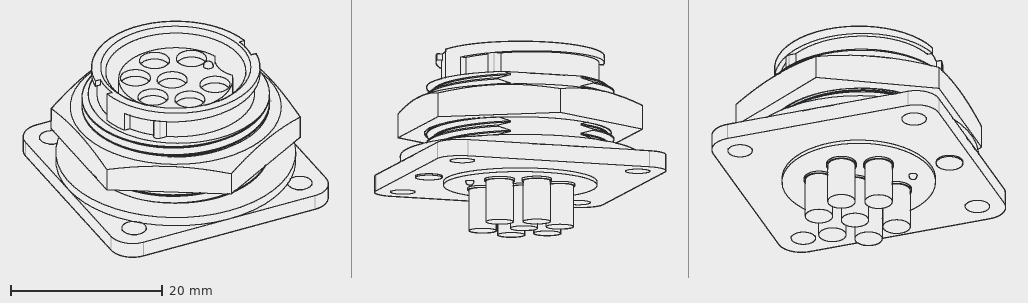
import cadquery as cq
import math


OVERSHOOT = 0.33

FLANGE_SIDE = 31.75
FLANGE_TOP = 2.18
FLANGE_CORNER_RADIUS = 3.2
MOUNT_HOLE_OFFSET = 12.25
MOUNT_HOLE_RADIUS = 1.62
SEAT_TOP = 3.45
SEAT_RADIUS = FLANGE_SIDE / 2

THREAD_TOP = 12.67
TEN_TURN_RISE = 12.7
THREAD_PITCH = TEN_TURN_RISE / 10
THREAD_ROOT_RADIUS = 11.58
THREAD_CREST_RADIUS = 12.4
THREAD_CREST_HALF_WIDTH = 0.082
THREAD_FLANK_ANGLE = 30
THREAD_CREST_Z = 12.45
THREAD_EMBED = 0.1
THREAD_FLAT_X = -10.5

SHELL_TOP = 16.85
SHELL_RADIUS = 10.43
LIP_RADIUS = 11.15
ENTRY_NOTCH_WIDTH = 3.45
STOP_FACE_X = 4.9
RAMP_SLOPE = 0.005
RAMP_RUN_OUT = 10
RAMP_LOW_Z = 15.3
DETENT_RADIUS = 0.6
DETENT_X = 8.15
DETENT_Y = -6.65
DETENT_FOOT_Y = -5.6

CAVITY_RADIUS = 9.27
CAVITY_CHAMFER = 0.65
CAVITY_FLOOR = 0.65
INSERT_RADIUS = 7.55
INSERT_TOP = 15.0
KEY_RADIUS = 4.4
KEY_CENTRE_Y = 10.65
BACK_DISC_RADIUS = 10.15
BACK_DISC_BOTTOM = -0.5

CONTACT_ROWS = [
    (4.05, (-3.5, 3.5)),
    (-0.53, (-5.25, 0, 5.25)),
    (-4.65, (-2.6, 2.6)),
]
CONTACT_HOLE_RADIUS = 1.98
CONTACT_HOLE_DEPTH = 1.05
COLLAR_BOTTOM = -0.75
CUP_RADIUS = 1.8
CUP_BOTTOM = -6.25

DOME_X = -0.85
TOP_DOME_Y = 5.25
TOP_DOME_RADIUS = 0.65
BACK_DOME_Y = 7.33
BACK_DOME_RADIUS = 0.55
PAD_Y = 12.77
PAD_RADIUS = 1.78
PAD_HEIGHT = 0.2

NUT_ACROSS_CORNERS = 33
NUT_BOTTOM = 6.47
NUT_TOP = 10.63
NUT_FACE_RADIUS = 13.95
NUT_CORNER_TOP = 9.67
NUT_MINOR_RADIUS = 12.05
NUT_MAJOR_RADIUS = 12.67
NUT_GROOVE_HALF_WIDTH = 0.15
NUT_GROOVE_SHIFT = 0.15


def cylinder(radius, bottom, top, x=0, y=0):
    """Upright cylinder between two heights."""
    return cq.Workplane("XY", origin=(x, y, bottom)).circle(radius).extrude(top - bottom)


def box(x_range, y_range, z_range):
    """Axis-aligned box from its three ranges."""
    sizes = [high - low for low, high in (x_range, y_range, z_range)]
    corner = (x_range[0], y_range[0], z_range[0])
    return cq.Workplane("XY").box(*sizes, centered=False).translate(corner)


def both_sides(shape):
    """The shape together with its half-turn copy about Z."""
    return shape.union(shape.rotate((0, 0, 0), (0, 0, 1), 180))


def threaded_rod(root_radius, crest_radius, crest_half_width, crest_z, bottom, top):
    """Rod with a right-handed ridge, one of whose crests passes +X at crest_z."""
    base_radius = root_radius - THREAD_EMBED
    flank_rise = (crest_radius - base_radius) * math.tan(math.radians(THREAD_FLANK_ANGLE))
    base_half_width = crest_half_width + flank_rise
    turns_below = math.ceil((crest_z - bottom) / THREAD_PITCH) + 1
    turns_above = math.ceil((top - crest_z) / THREAD_PITCH) + 1
    start = crest_z - turns_below * THREAD_PITCH
    height = (turns_below + turns_above) * THREAD_PITCH
    helix = cq.Wire.makeHelix(THREAD_PITCH, height, root_radius).translate(cq.Vector(0, 0, start))
    ridge = (
        cq.Workplane("XZ")
        .polyline([
            (base_radius, start - base_half_width),
            (crest_radius, start - crest_half_width),
            (crest_radius, start + crest_half_width),
            (base_radius, start + base_half_width),
        ])
        .close()
        .sweep(cq.Workplane(helix), isFrenet=True)
    )
    core = cylinder(root_radius, start - THREAD_PITCH, start + height + THREAD_PITCH)
    return core.union(ridge).intersect(cylinder(crest_radius + OVERSHOOT, bottom, top))


def flange():
    plate = (
        cq.Workplane("XY")
        .rect(FLANGE_SIDE, FLANGE_SIDE)
        .extrude(FLANGE_TOP)
        .edges("|Z")
        .fillet(FLANGE_CORNER_RADIUS)
    )
    for x in (-MOUNT_HOLE_OFFSET, MOUNT_HOLE_OFFSET):
        for y in (-MOUNT_HOLE_OFFSET, MOUNT_HOLE_OFFSET):
            plate = plate.cut(cylinder(MOUNT_HOLE_RADIUS, 0, FLANGE_TOP, x, y))
    return plate.union(cylinder(SEAT_RADIUS, FLANGE_TOP, SEAT_TOP))


def threaded_barrel():
    rod = threaded_rod(
        THREAD_ROOT_RADIUS,
        THREAD_CREST_RADIUS,
        THREAD_CREST_HALF_WIDTH,
        THREAD_CREST_Z,
        SEAT_TOP,
        THREAD_TOP,
    )
    reach = THREAD_CREST_RADIUS + OVERSHOOT
    return rod.cut(box((-reach, THREAD_FLAT_X), (-reach, reach), (SEAT_TOP, THREAD_TOP)))


def ramp_groove():
    """Space under the +X lip, clockwise from the +Y entry notch to the stop near -Y."""
    stop_angle = -math.degrees(math.acos(STOP_FACE_X / LIP_RADIUS))
    sweep_start = stop_angle - RAMP_RUN_OUT
    sweep_end = 90
    inner_radius = SHELL_RADIUS - OVERSHOOT
    start_z = RAMP_LOW_Z + RAMP_SLOPE * (sweep_start - stop_angle)
    rise = RAMP_SLOPE * (sweep_end - sweep_start)
    helix = cq.Wire.makeHelix(RAMP_SLOPE * 360, rise, SHELL_RADIUS)
    groove = (
        cq.Workplane("XZ")
        .polyline([
            (inner_radius, 0),
            (LIP_RADIUS + OVERSHOOT, 0),
            (LIP_RADIUS + OVERSHOOT, THREAD_TOP - SHELL_TOP),
            (inner_radius, THREAD_TOP - SHELL_TOP),
        ])
        .close()
        .sweep(cq.Workplane(helix), isFrenet=True)
        .rotate((0, 0, 0), (0, 0, 1), sweep_start)
        .translate((0, 0, start_z))
    )
    beyond_stop = box((STOP_FACE_X, SHELL_TOP), (-SHELL_TOP, 0), (0, SHELL_TOP))
    up_to_notch = box((0, SHELL_TOP), (0, SHELL_TOP), (0, SHELL_TOP))
    return groove.intersect(beyond_stop.union(up_to_notch))


def detent():
    """Round nub with a flat flank, standing under the lip beside the stop."""
    nub = cylinder(DETENT_RADIUS, THREAD_TOP, RAMP_LOW_Z + OVERSHOOT, DETENT_X, DETENT_Y)
    flank = box(
        (DETENT_X, DETENT_X + DETENT_RADIUS),
        (DETENT_Y, DETENT_FOOT_Y),
        (THREAD_TOP, RAMP_LOW_Z + OVERSHOOT),
    )
    return nub.union(flank)


def bayonet_shell():
    lip = cylinder(LIP_RADIUS, THREAD_TOP, SHELL_TOP)
    lip = lip.cut(both_sides(ramp_groove()))
    half_notch = ENTRY_NOTCH_WIDTH / 2
    notches = box((-half_notch, half_notch), (-SHELL_TOP, SHELL_TOP), (THREAD_TOP, SHELL_TOP))
    lip = lip.cut(notches)
    return lip.union(cylinder(SHELL_RADIUS, THREAD_TOP, SHELL_TOP)).union(both_sides(detent()))


def cavity():
    """Round cavity with a chamfered mouth."""
    mouth_radius = CAVITY_RADIUS + CAVITY_CHAMFER
    return (
        cq.Workplane("XZ")
        .polyline([
            (0, CAVITY_FLOOR),
            (CAVITY_RADIUS, CAVITY_FLOOR),
            (CAVITY_RADIUS, SHELL_TOP - CAVITY_CHAMFER),
            (mouth_radius, SHELL_TOP),
            (0, SHELL_TOP),
        ])
        .close()
        .revolve(360, (0, 0, 0), (0, 1, 0))
    )


def insert():
    """Contact insert with a rounded keyway on its +Y side."""
    core = cylinder(INSERT_RADIUS, CAVITY_FLOOR, INSERT_TOP)
    return core.cut(cylinder(KEY_RADIUS, CAVITY_FLOOR, INSERT_TOP, 0, KEY_CENTRE_Y))


def contact_places():
    """Centres of the seven contacts."""
    return [(x, y) for y, row in CONTACT_ROWS for x in row]


def dome(radius, y, z):
    """Index ball, half sunk into the face at height z."""
    return cq.Workplane("XY").sphere(radius).translate((DOME_X, y, z))


def make_housing():
    body = flange().union(threaded_barrel()).union(bayonet_shell())
    body = body.cut(cavity()).union(insert())
    body = body.union(cylinder(BACK_DISC_RADIUS, BACK_DISC_BOTTOM, 0))
    for x, y in contact_places():
        hole_bottom = INSERT_TOP - CONTACT_HOLE_DEPTH
        body = body.cut(cylinder(CONTACT_HOLE_RADIUS, hole_bottom, INSERT_TOP, x, y))
        body = body.union(cylinder(CONTACT_HOLE_RADIUS, COLLAR_BOTTOM, BACK_DISC_BOTTOM, x, y))
        body = body.union(cylinder(CUP_RADIUS, CUP_BOTTOM, COLLAR_BOTTOM, x, y))
    body = body.union(dome(TOP_DOME_RADIUS, TOP_DOME_Y, INSERT_TOP))
    body = body.union(dome(BACK_DOME_RADIUS, BACK_DOME_Y, BACK_DISC_BOTTOM))
    return body.union(cylinder(PAD_RADIUS, -PAD_HEIGHT, 0, 0, PAD_Y))


def make_nut():
    blank = (
        cq.Workplane("XY", origin=(0, 0, NUT_BOTTOM))
        .polygon(6, NUT_ACROSS_CORNERS)
        .extrude(NUT_TOP - NUT_BOTTOM)
    )
    corner_radius = NUT_ACROSS_CORNERS / 2
    turned_envelope = (
        cq.Workplane("XZ")
        .polyline([
            (0, NUT_BOTTOM),
            (corner_radius, NUT_BOTTOM),
            (corner_radius, NUT_CORNER_TOP),
            (NUT_FACE_RADIUS, NUT_TOP),
            (0, NUT_TOP),
        ])
        .close()
        .revolve(360, (0, 0, 0), (0, 1, 0))
    )
    tapped_bore = threaded_rod(
        NUT_MINOR_RADIUS,
        NUT_MAJOR_RADIUS,
        NUT_GROOVE_HALF_WIDTH,
        THREAD_CREST_Z + NUT_GROOVE_SHIFT,
        NUT_BOTTOM,
        NUT_TOP,
    )
    return blank.intersect(turned_envelope).cut(tapped_bore)


housing = make_housing()
nut = make_nut()

result = cq.Compound.makeCompound([housing.solids().val(), nut.solids().val()])